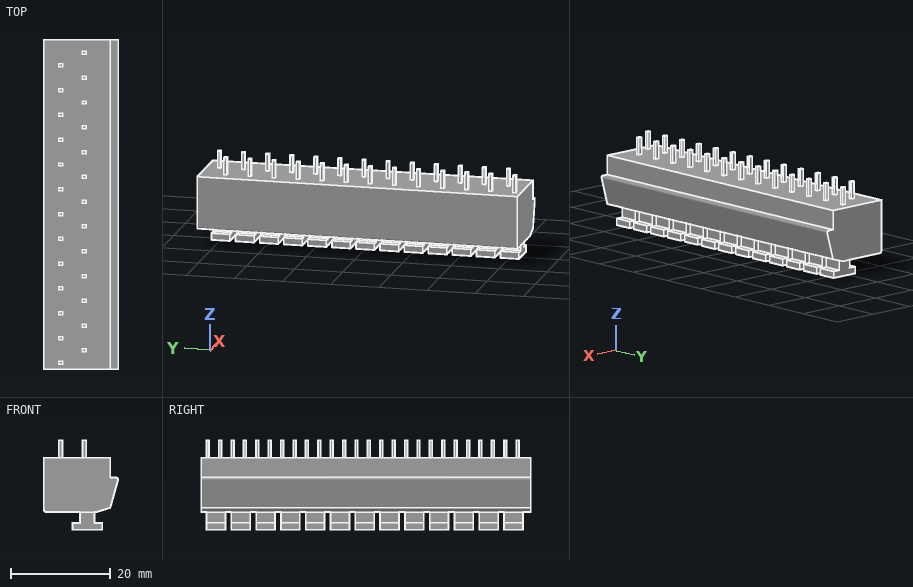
import cadquery as cq
import math

length = 66.5
body_width = 13.4
overall_width = 15.0
body_height = 11.0
heel_radius = 0.5

ledge_drop = 4.0
nose_radius = 0.4
chin_height = 0.85
floor_width = 10.7

pin_count = 26
pin_span = 62.5
pin_pitch = pin_span / (pin_count - 1)
first_pin_inset = 1.3
pin_rows_x = (3.4, 8.2)
pin_size_x = 0.8
pin_size_y = 0.6
pin_height = 3.5

foot_count = pin_count // 2
foot_pitch = 2 * pin_pitch
first_foot_inset = 3.0
foot_center_x = 8.8
foot_length = 3.85
foot_height = 3.6
stem_width = 3.0
flange_width = 6.05
flange_thickness = 1.4


def make_housing():
    ledge_z = body_height - ledge_drop
    nose_x = overall_width - nose_radius
    nose_z = ledge_z - nose_radius

    run = nose_x - body_width
    rise = nose_z - chin_height
    lean = math.atan2(run, rise) + math.asin(nose_radius / math.hypot(run, rise))

    def on_nose(angle):
        return (nose_x + nose_radius * math.cos(angle), nose_z + nose_radius * math.sin(angle))

    nose_start = -lean
    nose_end = math.pi / 2
    profile = (
        cq.Workplane("XZ", origin=(0, length / 2, 0))
        .lineTo(floor_width, 0)
        .lineTo(body_width, chin_height)
        .lineTo(*on_nose(nose_start))
        .threePointArc(on_nose((nose_start + nose_end) / 2), on_nose(nose_end))
        .lineTo(body_width, ledge_z)
        .lineTo(body_width, body_height)
        .lineTo(0, body_height)
        .close()
    )
    return profile.extrude(length).edges("<X and <Z").fillet(heel_radius)


def make_pins():
    """Pins starting at the -Y end, alternating between the two rows."""
    pins = cq.Workplane("XY")
    for row, row_x in enumerate(pin_rows_x):
        places = [
            (row_x, -length / 2 + first_pin_inset + index * pin_pitch)
            for index in range(row, pin_count, len(pin_rows_x))
        ]
        row_pins = (
            cq.Workplane("XY", origin=(0, 0, body_height))
            .pushPoints(places)
            .rect(pin_size_x, pin_size_y)
            .extrude(pin_height)
        )
        pins = pins.add(row_pins)
    return pins.combine()


def make_feet():
    """T-shaped feet hanging below the housing floor."""
    places = [
        (foot_center_x, -length / 2 + first_foot_inset + index * foot_pitch)
        for index in range(foot_count)
    ]
    stems = cq.Workplane("XY").pushPoints(places).rect(stem_width, foot_length).extrude(-foot_height)
    flanges = (
        cq.Workplane("XY", origin=(0, 0, -foot_height))
        .pushPoints(places)
        .rect(flange_width, foot_length)
        .extrude(flange_thickness)
    )
    return stems.union(flanges)


result = make_housing().union(make_pins()).union(make_feet())